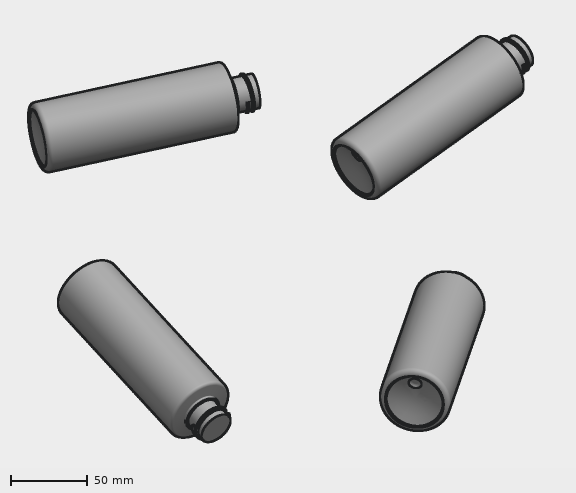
import cadquery as cq
import math


height = 150.09
body_radius = 47.28 / 2

neck_radius = 11.7
neck_length = 15.35
collar_radius = 13.05
collar_length = 2.15
collar_root_fillet = 0.3
collar_top = height - neck_length
collar_bottom = collar_top - collar_length

crown_radius = 200
shoulder_blend = 2.2

heel_blend = 3.5
lip_outer_radius = body_radius - heel_blend
lip_inner_radius = 19.65
dome_radius = 18.75
step_rise = 0.9
dome_apex = 4.6
dome_rise = dome_apex - step_rise
sphere_radius = (dome_radius**2 + dome_rise**2) / (2 * dome_rise)
sphere_centre_z = dome_apex - sphere_radius

dimple_offset = 12.6
dimple_mouth_radius = 4.35
dimple_cone_end_radius = 3.05
dimple_floor_radius = 1.75
dimple_slope = math.radians(35)

thread_pitch = 3.7
thread_lead_in = 12
thread_sweep = 570
thread_start_depth = 8.55
thread_root_width = 2.2
thread_crest_width = 0.7
thread_crest_shift = 0.3
thread_embed = 0.3


def make_body():
    """Revolve the half section of the bottle."""
    half_chord = dome_radius / 2
    dome_mid = (half_chord, sphere_centre_z + math.sqrt(sphere_radius**2 - half_chord**2))
    diagonal = math.sqrt(0.5)
    heel_mid = (lip_outer_radius + heel_blend * diagonal, heel_blend * (1 - diagonal))

    blend_x = body_radius - shoulder_blend
    crown_centre_z = collar_bottom - math.sqrt(crown_radius**2 - collar_radius**2)
    crown_start = math.asin(collar_radius / crown_radius)
    crown_end = math.asin(blend_x / (crown_radius - shoulder_blend))
    wall_top = crown_centre_z + (crown_radius - shoulder_blend) * math.cos(crown_end)

    def crown_point(angle):
        """Point on the crown, with the angle measured from the bottle axis."""
        return (
            crown_radius * math.sin(angle),
            crown_centre_z + crown_radius * math.cos(angle),
        )

    blend_mid_angle = (crown_end + math.pi / 2) / 2
    blend_mid = (
        blend_x + shoulder_blend * math.sin(blend_mid_angle),
        wall_top + shoulder_blend * math.cos(blend_mid_angle),
    )

    profile = (
        cq.Workplane("XZ")
        .moveTo(0, dome_apex)
        .threePointArc(dome_mid, (dome_radius, step_rise))
        .lineTo(lip_inner_radius, 0)
        .lineTo(lip_outer_radius, 0)
        .threePointArc(heel_mid, (body_radius, heel_blend))
        .lineTo(body_radius, wall_top)
        .threePointArc(blend_mid, crown_point(crown_end))
        .threePointArc(crown_point((crown_start + crown_end) / 2), (collar_radius, collar_bottom))
        .lineTo(collar_radius, collar_top)
        .lineTo(neck_radius, collar_top)
        .lineTo(neck_radius, height)
        .lineTo(0, height)
        .close()
    )
    body = profile.revolve(360, (0, 0, 0), (0, 1, 0))
    collar_root = cq.selectors.NearestToPointSelector((0, 0, collar_bottom))
    return body.edges("%CIRCLE").edges(collar_root).fillet(collar_root_fillet)


def make_thread():
    """Sweep the thread section along a right-handed helix around the neck."""
    helix_height = thread_pitch * thread_sweep / 360
    path = cq.Wire.makeHelix(thread_pitch, helix_height, neck_radius)
    inner = neck_radius - thread_embed
    half_root = thread_root_width / 2
    half_crest = thread_crest_width / 2
    section = [
        (inner, -half_root),
        (inner, half_root),
        (collar_radius, half_crest - thread_crest_shift),
        (collar_radius, -half_crest - thread_crest_shift),
    ]
    thread = cq.Workplane("XZ").polyline(section).close().sweep(cq.Workplane(path), isFrenet=True)
    return thread.rotate((0, 0, 0), (0, 0, 1), -thread_lead_in).translate(
        (0, 0, height - thread_start_depth)
    )


def make_dimple():
    """Round cutter, square to the dome at the dimple centre."""
    mouth_z = math.sqrt(sphere_radius**2 - dimple_mouth_radius**2)
    cone_end_z = mouth_z + (dimple_mouth_radius - dimple_cone_end_radius) * math.tan(dimple_slope)
    round_radius = (dimple_cone_end_radius - dimple_floor_radius) / math.sin(dimple_slope)
    floor_z = cone_end_z + round_radius * (1 - math.cos(dimple_slope))
    round_mid = (
        dimple_floor_radius + round_radius * math.sin(dimple_slope / 2),
        floor_z - round_radius * (1 - math.cos(dimple_slope / 2)),
    )
    cutter = (
        cq.Workplane("XZ")
        .moveTo(0, mouth_z)
        .lineTo(dimple_mouth_radius, mouth_z)
        .lineTo(dimple_cone_end_radius, cone_end_z)
        .threePointArc(round_mid, (dimple_floor_radius, floor_z))
        .lineTo(0, floor_z)
        .close()
        .revolve(360, (0, 0, 0), (0, 1, 0))
    )
    tilt = math.degrees(math.asin(dimple_offset / sphere_radius))
    return cutter.rotate((0, 0, 0), (1, 0, 0), tilt).translate((0, 0, sphere_centre_z))


bottle = make_body().union(make_thread()).cut(make_dimple())
result = bottle.rotate((0, 0, 0), (1, 0, 0), -90)